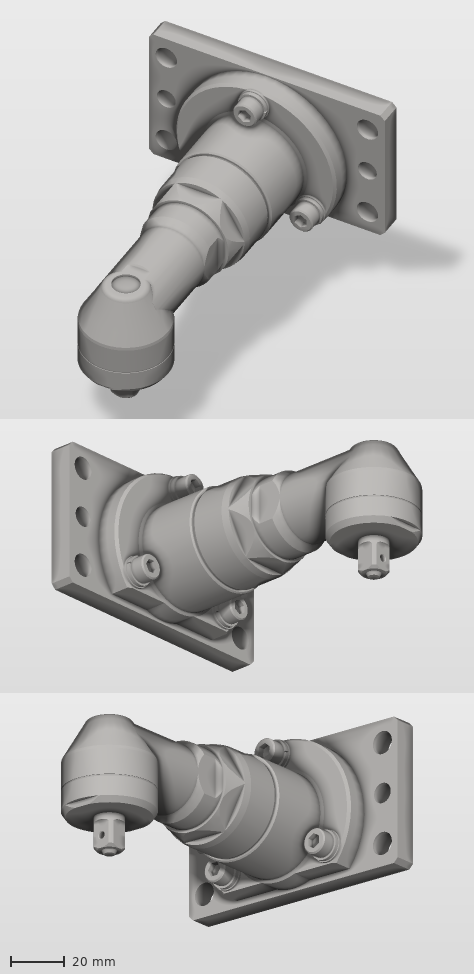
import cadquery as cq
import math

LENGTH = 135.0

PLATE_WIDTH = 100.0
PLATE_HEIGHT = 58.0
PLATE_THICKNESS = 9.0
PLATE_CENTRE_Z = 5.7
PLATE_CORNER = 1.9
PLATE_HOLE_X = 42.7
PLATE_HOLE_PITCH = 20.0
OUTER_HOLE_DIAMETER = 9.0
MIDDLE_HOLE_DIAMETER = 8.0

FLANGE_DIAMETER = 68.0
FLANGE_REACH = 18.1
FLANGE_CHAMFER_RADIAL = 1.0
FLANGE_CHAMFER_AXIAL = 1.2
FLANGE_FLAT_Z = -20.7

SCREW_CIRCLE_RADIUS = 27.5
SCREW_SETTINGS = ((90, 20, 0), (210, 0, 165), (330, 30, 200))
WASHER_DIAMETER = 12.5
WASHER_THICKNESS = 1.0
LOCK_WASHER_DIAMETER = 11.7
LOCK_WASHER_THICKNESS = 1.6
LOCK_WASHER_GAP = 0.5
SCREW_HEAD_DIAMETER = 10.0
SCREW_HEAD_HEIGHT = 5.7
SCREW_HEAD_CHAMFER = 0.5
SOCKET_CORNERS = 6.0
SOCKET_DEPTH = 2.7
SOCKET_POINT_DEPTH = 1.6

BODY_DIAMETER = 42.0
BODY_REACH = 43.5
BODY_CHAMFER = 0.5
BASE_RING_DIAMETER = 44.3
BASE_RING_HEIGHT = 0.8
GROOVE_DIAMETER = 39.4
GROOVE_WIDTH = 1.1
COLLAR_DIAMETER = 40.1
COLLAR_REACH = 58.3

NUT_START = 61.4
NUT_REACH = 69.4
NUT_BASE_DIAMETER = 39.0
NUT_END_DIAMETER = 34.3
NUT_ACROSS_FLATS = 34.2

NECK_DIAMETER = 32.0
NECK_REACH = 78.5
NECK_CONE_REACH = 82.1
NECK_FLAT_START = 71.8
NECK_FLAT_RUNOUT = 1.4
TUBE_DIAMETER = 28.0

HEAD_DIAMETER = 36.0
HEAD_TOP_Z = 13.1
HEAD_TOP_FLAT_RADIUS = 6.9
HEAD_RECESS_DIAMETER = 11.0
HEAD_RECESS_DEPTH = 1.1
HEAD_CONE_TOP_RADIUS = 9.3
HEAD_CONE_TOP_Z = 11.5
HEAD_CONE_BASE_RADIUS = 17.8
HEAD_CONE_BASE_Z = -3.0
HEAD_SHOULDER_Z = -4.2
HEAD_GROOVE_Z = -14.8
HEAD_GROOVE_WIDTH = 0.7
HEAD_GROOVE_DEPTH = 0.3
HEAD_CHAMFER_Z = -23.0
HEAD_BOTTOM_Z = -25.2
HEAD_CHAMFER_RADIAL = 1.6
HEAD_FLAT_OFFSET = 16.0
TUBE_RELIEF = 5.5
TUBE_SLOT_WIDTH = 10.1
TUBE_SLOT_START = 11.0

SPINDLE_DIAMETER = 11.7
SQUARE_ACROSS_FLATS = 9.5
SQUARE_START_Z = -27.7
SQUARE_END_Z = -38.5
TIP_Z = -39.8
TIP_TOP_DIAMETER = 6.0
TIP_DIAMETER = 4.3
PIN_HOLE_DIAMETER = 2.7
PIN_HOLE_CHAMFER = 0.3
PIN_HOLE_Z = -33.5

HEAD_AXIS_REACH = LENGTH - HEAD_DIAMETER / 2


def turned(profile):
    """Solid of revolution about the tool axis from (reach, radius) points."""
    first_reach, last_reach = profile[0][0], profile[-1][0]
    points = [(0, -first_reach)]
    points += [(radius, -reach) for reach, radius in profile]
    points += [(0, -last_reach)]
    return cq.Workplane("XY").polyline(points).close().revolve(360, (0, 0), (0, 1))


def turned_in_place(shape, angle):
    """Shape turned about the tool axis, from +X towards +Z."""
    return shape.rotate((0, 0, 0), (0, 1, 0), -angle)


def box_between(x_range, y_range, z_range):
    """Axis-aligned box between the given limits."""
    size = [high - low for low, high in (x_range, y_range, z_range)]
    box = cq.Workplane("XY").box(*size, centered=False)
    return box.translate((x_range[0], y_range[0], z_range[0]))


def make_plate():
    plate = cq.Workplane("XZ").center(0, PLATE_CENTRE_Z).rect(PLATE_WIDTH, PLATE_HEIGHT)
    plate = plate.extrude(PLATE_THICKNESS).edges("|Y").chamfer(PLATE_CORNER)
    sides = (-PLATE_HOLE_X, PLATE_HOLE_X)
    middle = [(x, PLATE_CENTRE_Z) for x in sides]
    outer = [(x, PLATE_CENTRE_Z + dz) for x in sides for dz in (-PLATE_HOLE_PITCH, PLATE_HOLE_PITCH)]
    for points, diameter in ((middle, MIDDLE_HOLE_DIAMETER), (outer, OUTER_HOLE_DIAMETER)):
        holes = cq.Workplane("XZ").pushPoints(points).circle(diameter / 2).extrude(PLATE_THICKNESS)
        plate = plate.cut(holes)
    return plate


def make_flange():
    radius = FLANGE_DIAMETER / 2
    flange = turned([
        (0, radius),
        (FLANGE_REACH - FLANGE_CHAMFER_AXIAL, radius),
        (FLANGE_REACH, radius - FLANGE_CHAMFER_RADIAL),
    ])
    return flange.cut(box_between((-radius, radius), (-FLANGE_REACH, 0), (-radius, FLANGE_FLAT_Z)))


def make_screw(socket_turn, gap_angle):
    """Socket head screw with a flat and a lock washer, on the tool axis."""
    lock_start = FLANGE_REACH + WASHER_THICKNESS
    head_start = lock_start + LOCK_WASHER_THICKNESS
    head_end = head_start + SCREW_HEAD_HEIGHT
    head_radius = SCREW_HEAD_DIAMETER / 2
    screw = turned([
        (FLANGE_REACH, WASHER_DIAMETER / 2),
        (lock_start, WASHER_DIAMETER / 2),
        (lock_start, LOCK_WASHER_DIAMETER / 2),
        (head_start, LOCK_WASHER_DIAMETER / 2),
        (head_start, head_radius),
        (head_end - SCREW_HEAD_CHAMFER, head_radius),
        (head_end, head_radius - SCREW_HEAD_CHAMFER),
    ])
    socket_floor = head_end - SOCKET_DEPTH
    socket = cq.Workplane("XZ", origin=(0, -socket_floor, 0)).polygon(6, SOCKET_CORNERS)
    socket = turned_in_place(socket.extrude(SOCKET_DEPTH), socket_turn)
    point_radius = SOCKET_CORNERS / 2 * math.cos(math.pi / 6)
    centre = cq.Vector(0, -socket_floor, 0)
    point = cq.Solid.makeCone(point_radius, 0, SOCKET_POINT_DEPTH, centre, cq.Vector(0, 1, 0))
    half_gap = LOCK_WASHER_GAP / 2
    gap = box_between((head_radius, WASHER_DIAMETER), (-head_start, -lock_start), (-half_gap, half_gap))
    return screw.cut(socket).cut(cq.Workplane(point)).cut(turned_in_place(gap, gap_angle))


def make_housing():
    body_radius = BODY_DIAMETER / 2
    groove_end = BODY_REACH + GROOVE_WIDTH
    return turned([
        (PLATE_THICKNESS, BASE_RING_DIAMETER / 2),
        (FLANGE_REACH, BASE_RING_DIAMETER / 2),
        (FLANGE_REACH + BASE_RING_HEIGHT, body_radius),
        (BODY_REACH - BODY_CHAMFER, body_radius),
        (BODY_REACH, body_radius - BODY_CHAMFER),
        (BODY_REACH, GROOVE_DIAMETER / 2),
        (groove_end, GROOVE_DIAMETER / 2),
        (groove_end, COLLAR_DIAMETER / 2),
        (COLLAR_REACH, COLLAR_DIAMETER / 2),
        (NUT_START, NUT_BASE_DIAMETER / 2),
    ])


def make_nut():
    """Hexagon with faces up and down, trimmed by a cone."""
    cone = turned([(NUT_START, NUT_BASE_DIAMETER / 2), (NUT_REACH, NUT_END_DIAMETER / 2)])
    across_corners = NUT_ACROSS_FLATS / math.cos(math.pi / 6)
    hexagon = cq.Workplane("XZ", origin=(0, -NUT_START, 0)).polygon(6, across_corners)
    return cone.intersect(hexagon.extrude(NUT_REACH - NUT_START))


def make_neck():
    neck_radius = NECK_DIAMETER / 2
    flat_offset = TUBE_DIAMETER / 2
    neck = turned([
        (NUT_REACH, neck_radius),
        (NECK_REACH, neck_radius),
        (NECK_CONE_REACH, flat_offset),
    ])
    outline = [
        (flat_offset + NECK_FLAT_RUNOUT, -NUT_REACH),
        (flat_offset, -NECK_FLAT_START),
        (flat_offset, -NECK_CONE_REACH),
        (NECK_DIAMETER, -NECK_CONE_REACH),
        (NECK_DIAMETER, -NUT_REACH),
    ]
    flat = cq.Workplane("XY").polyline(outline).close().extrude(neck_radius, both=True)
    return neck.cut(flat).cut(flat.mirror("YZ"))


def make_tube():
    """Tube ending on the head axis, cleared and slotted above the top of the head."""
    radius = TUBE_DIAMETER / 2
    tube = turned([(NECK_REACH, radius), (HEAD_AXIS_REACH, radius)])
    relief_y = TUBE_RELIEF - HEAD_AXIS_REACH
    relief = box_between((-radius, radius), (-HEAD_AXIS_REACH, relief_y), (HEAD_CONE_TOP_Z, radius))
    slot_y = TUBE_SLOT_START - HEAD_AXIS_REACH
    slot_height = radius - HEAD_TOP_Z
    outline = [
        (-HEAD_AXIS_REACH, HEAD_TOP_Z),
        (slot_y - slot_height, HEAD_TOP_Z),
        (slot_y, radius),
        (-HEAD_AXIS_REACH, radius),
    ]
    slot = cq.Workplane("YZ").polyline(outline).close().extrude(TUBE_SLOT_WIDTH / 2, both=True)
    return tube.cut(relief).cut(slot)


def make_head():
    """Conical angle head, on the Z axis."""
    radius = HEAD_DIAMETER / 2
    recess_radius = HEAD_RECESS_DIAMETER / 2
    recess_floor = HEAD_TOP_Z - HEAD_RECESS_DEPTH
    groove_radius = radius - HEAD_GROOVE_DEPTH
    groove_top = HEAD_GROOVE_Z + HEAD_GROOVE_WIDTH / 2
    groove_bottom = HEAD_GROOVE_Z - HEAD_GROOVE_WIDTH / 2
    profile = (
        cq.Workplane("YZ")
        .moveTo(0, recess_floor)
        .lineTo(recess_radius, recess_floor)
        .lineTo(recess_radius, HEAD_TOP_Z)
        .lineTo(HEAD_TOP_FLAT_RADIUS, HEAD_TOP_Z)
        .tangentArcPoint((HEAD_CONE_TOP_RADIUS, HEAD_CONE_TOP_Z), relative=False)
        .lineTo(HEAD_CONE_BASE_RADIUS, HEAD_CONE_BASE_Z)
        .lineTo(radius, HEAD_SHOULDER_Z)
        .lineTo(radius, groove_top)
        .lineTo(groove_radius, groove_top)
        .lineTo(groove_radius, groove_bottom)
        .lineTo(radius, groove_bottom)
        .lineTo(radius, HEAD_CHAMFER_Z)
        .lineTo(radius - HEAD_CHAMFER_RADIAL, HEAD_BOTTOM_Z)
        .lineTo(0, HEAD_BOTTOM_Z)
        .close()
    )
    head = profile.revolve(360, (0, 0), (0, 1))
    flat = box_between((-radius, radius), (HEAD_FLAT_OFFSET, radius), (HEAD_BOTTOM_Z, HEAD_CHAMFER_Z))
    return head.cut(flat).cut(flat.mirror("XZ"))


def make_drive():
    """Spindle with a square end and a cross hole, on the Z axis."""
    radius = SPINDLE_DIAMETER / 2
    half_square = SQUARE_ACROSS_FLATS / 2
    corner_depth = radius - half_square
    outline = [
        (0, HEAD_CHAMFER_Z),
        (radius, HEAD_CHAMFER_Z),
        (radius, SQUARE_END_Z + corner_depth),
        (half_square, SQUARE_END_Z),
        (TIP_TOP_DIAMETER / 2, SQUARE_END_Z),
        (TIP_DIAMETER / 2, TIP_Z),
        (0, TIP_Z),
    ]
    drive = cq.Workplane("XZ").polyline(outline).close().revolve(360, (0, 0), (0, 1))
    side = (
        cq.Workplane("XZ")
        .moveTo(half_square, TIP_Z)
        .lineTo(half_square, SQUARE_START_Z - corner_depth)
        .tangentArcPoint((radius, SQUARE_START_Z), relative=False)
        .lineTo(SPINDLE_DIAMETER, SQUARE_START_Z)
        .lineTo(SPINDLE_DIAMETER, TIP_Z)
        .close()
    )
    flat = side.extrude(radius, both=True)
    for quarter in range(4):
        drive = drive.cut(flat.rotate((0, 0, 0), (0, 0, 1), 90 * quarter))
    hole_radius = PIN_HOLE_DIAMETER / 2
    hole = turned([
        (-half_square, hole_radius + PIN_HOLE_CHAMFER),
        (PIN_HOLE_CHAMFER - half_square, hole_radius),
        (half_square - PIN_HOLE_CHAMFER, hole_radius),
        (half_square, hole_radius + PIN_HOLE_CHAMFER),
    ])
    return drive.cut(hole.translate((0, 0, PIN_HOLE_Z)))


result = make_plate()
for section in (make_flange(), make_housing(), make_nut(), make_neck(), make_tube()):
    result = result.union(section)

for vertical_section in (make_head(), make_drive()):
    result = result.union(vertical_section.translate((0, -HEAD_AXIS_REACH, 0)))

for angle, socket_turn, gap_angle in SCREW_SETTINGS:
    screw = make_screw(socket_turn, gap_angle)
    x = SCREW_CIRCLE_RADIUS * math.cos(math.radians(angle))
    z = SCREW_CIRCLE_RADIUS * math.sin(math.radians(angle))
    result = result.union(screw.translate((x, 0, z)))